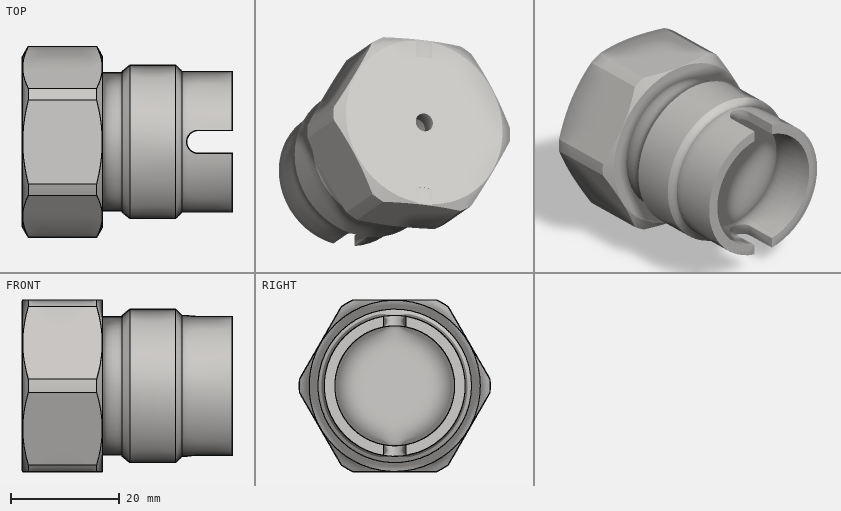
import cadquery as cq
import math

length = 38.85

across_flats = 31.75
corner_diameter = 35.32
head_length = 14.85
chamfer_angle = 30.0
front_face_radius = 15.65
back_face_radius = 15.8

neck_radius = 12.8
neck_end = 18.5
collar_radius = 14.2
collar_front_bevel = 1.4
collar_end = 29.55
sleeve_radius = 13.0
collar_back_bevel = collar_radius - sleeve_radius

sleeve_wall = 1.95
slot_width = 4.2
slot_floor = 30.43
bore_floor = collar_end

drill_diameter = 3.42
drill_depth = 3.9
drill_point_angle = 118.0

mark_size = 3.15
mark_depth = 0.08
mark_inner_edge = 12.6


def revolve_about_x(points):
    """Turn a closed (X, radius) outline about the X axis."""
    return cq.Workplane("XY").polyline(points).close().revolve(360, (0, 0, 0), (1, 0, 0))


def make_head():
    """Hexagon with flats at +Z and -Z, its corners turned down and chamfered at both ends."""
    corner_radius = corner_diameter / 2
    slope = math.tan(math.radians(chamfer_angle))
    front_chamfer = (corner_radius - front_face_radius) * slope
    back_chamfer = (corner_radius - back_face_radius) * slope
    across_corners = across_flats / math.cos(math.pi / 6)
    hexagon = cq.Workplane("YZ").polygon(6, across_corners).extrude(head_length)
    envelope = revolve_about_x([
        (0, 0),
        (0, front_face_radius),
        (front_chamfer, corner_radius),
        (head_length - back_chamfer, corner_radius),
        (head_length, back_face_radius),
        (head_length, 0),
    ])
    return hexagon.intersect(envelope)


def make_body():
    """Neck, bevelled collar and sleeve as one turned solid."""
    return revolve_about_x([
        (0, 0),
        (0, neck_radius),
        (neck_end, neck_radius),
        (neck_end, sleeve_radius),
        (neck_end + collar_front_bevel, collar_radius),
        (collar_end - collar_back_bevel, collar_radius),
        (collar_end, sleeve_radius),
        (length, sleeve_radius),
        (length, 0),
    ])


def make_bore():
    """Blind bore that opens the sleeve at its free end."""
    bore_radius = sleeve_radius - sleeve_wall
    return cq.Workplane("YZ", origin=(bore_floor, 0, 0)).circle(bore_radius).extrude(length - bore_floor)


def make_slot():
    """Round-ended slot through both sides of the sleeve, along Z."""
    half_width = slot_width / 2
    arc_centre = slot_floor + half_width
    return (
        cq.Workplane("XY")
        .moveTo(length, -half_width)
        .lineTo(arc_centre, -half_width)
        .threePointArc((slot_floor, 0), (arc_centre, half_width))
        .lineTo(length, half_width)
        .close()
        .extrude(sleeve_radius, both=True)
    )


def make_drilling():
    """Blind drilled hole with a conical tip."""
    drill_radius = drill_diameter / 2
    tip_length = drill_radius / math.tan(math.radians(drill_point_angle / 2))
    return revolve_about_x([
        (0, 0),
        (0, drill_radius),
        (drill_depth, drill_radius),
        (drill_depth + tip_length, 0),
    ])


def make_mark(side):
    """Shallow square recess running out at the head rim; side is +1 for +Z and -1 for -Z."""
    mark_centre = side * (mark_inner_edge + across_flats / 2) / 2
    mark_height = across_flats / 2 - mark_inner_edge
    return cq.Workplane("YZ").center(0, mark_centre).rect(mark_size, mark_height).extrude(mark_depth)


result = make_head().union(make_body())
result = result.cut(make_bore()).cut(make_slot()).cut(make_drilling())
for side in (1, -1):
    result = result.cut(make_mark(side))